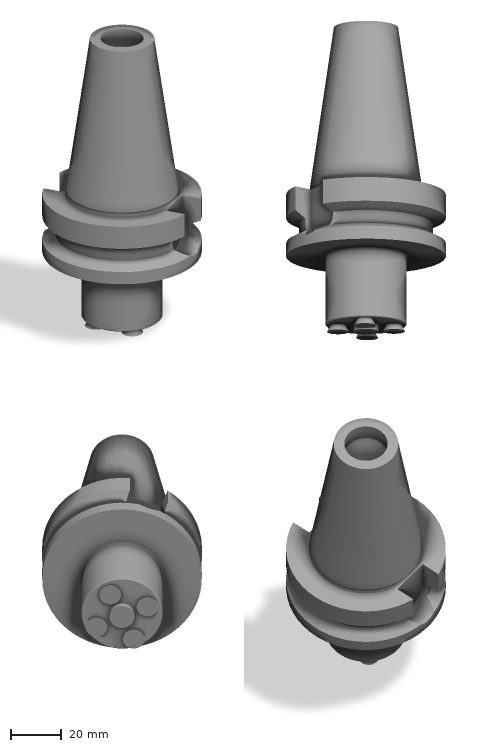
import cadquery as cq
import math

total_height = 122.8

taper_top_diameter = 25.4
taper_base_diameter = 44.5
taper_length = 65.5
neck_diameter = 44.0
neck_chamfer = 0.6
neck_length = 2.0
neck_flare_diameter = 45.0
neck_flare_height = 0.9

flange_diameter = 63.0
flange_thickness = 24.9
groove_floor_diameter = 52.8
groove_center_below_flange_top = 14.6
groove_mouth_width = 10.1
groove_floor_width = 4.9

slot_width = 16.0
slot_depth_below_flange_top = 20.9
slot_floor_distance = 22.3

shank_diameter = 32.0
shank_root_fillet = 1.0
shank_chamfer = 0.4

bore_diameter = 17.1
bore_depth = 7.4
bore_tip_diameter = 14.0
bore_step_height = 0.9
bore_tip_angle = 118.0

head_height = 2.6
head_diameter = 8.6
head_root_diameter = 6.0
head_count = 4
head_circle_diameter = 22.1
first_head_angle = 45
boss_diameter = 10.0

taper_base_z = total_height - taper_length
flange_top_z = taper_base_z - neck_length
flange_bottom_z = flange_top_z - flange_thickness
groove_z = flange_top_z - groove_center_below_flange_top
shank_bottom_z = head_height


def make_body():
    """Revolve the outer profile of taper, flange and shank."""
    flange_radius = flange_diameter / 2
    floor_radius = groove_floor_diameter / 2
    shank_radius = shank_diameter / 2
    fillet_bend = shank_root_fillet * (1 - math.sqrt(0.5))
    return (
        cq.Workplane("XZ")
        .moveTo(0, shank_bottom_z)
        .lineTo(shank_radius - shank_chamfer, shank_bottom_z)
        .lineTo(shank_radius, shank_bottom_z + shank_chamfer)
        .lineTo(shank_radius, flange_bottom_z - shank_root_fillet)
        .threePointArc(
            (shank_radius + fillet_bend, flange_bottom_z - fillet_bend),
            (shank_radius + shank_root_fillet, flange_bottom_z),
        )
        .lineTo(flange_radius, flange_bottom_z)
        .lineTo(flange_radius, groove_z - groove_mouth_width / 2)
        .lineTo(floor_radius, groove_z - groove_floor_width / 2)
        .lineTo(floor_radius, groove_z + groove_floor_width / 2)
        .lineTo(flange_radius, groove_z + groove_mouth_width / 2)
        .lineTo(flange_radius, flange_top_z)
        .lineTo(neck_flare_diameter / 2, flange_top_z)
        .lineTo(neck_diameter / 2, flange_top_z + neck_flare_height)
        .lineTo(neck_diameter / 2, taper_base_z - neck_chamfer)
        .lineTo(taper_base_diameter / 2, taper_base_z)
        .lineTo(taper_top_diameter / 2, total_height)
        .lineTo(0, total_height)
        .close()
        .revolve(360, (0, 0, 0), (0, 1, 0))
    )


def make_bore():
    """Stepped blind bore ending in a drill-point cone."""
    bore_floor_z = total_height - bore_depth
    tip_edge_z = bore_floor_z - bore_step_height
    tip_radius = bore_tip_diameter / 2
    tip_height = tip_radius / math.tan(math.radians(bore_tip_angle / 2))
    return (
        cq.Workplane("XZ")
        .moveTo(0, total_height)
        .lineTo(bore_diameter / 2, total_height)
        .lineTo(bore_diameter / 2, bore_floor_z)
        .lineTo(tip_radius, tip_edge_z)
        .lineTo(0, tip_edge_z - tip_height)
        .close()
        .revolve(360, (0, 0, 0), (0, 1, 0))
    )


def make_drive_slot():
    """Round-bottomed slot cutter on the +X side, open at the flange top."""
    half_width = slot_width / 2
    slot_bottom_z = flange_top_z - slot_depth_below_flange_top
    arc_center_z = slot_bottom_z + half_width
    return (
        cq.Workplane("YZ", origin=(slot_floor_distance, 0, 0))
        .moveTo(-half_width, flange_top_z)
        .lineTo(-half_width, arc_center_z)
        .threePointArc((0, slot_bottom_z), (half_width, arc_center_z))
        .lineTo(half_width, flange_top_z)
        .close()
        .extrude(flange_diameter / 2)
    )


def make_end_features():
    """Flared screw heads around a center boss on the shank end."""
    heads = (
        cq.Workplane("XY")
        .polarArray(head_circle_diameter / 2, first_head_angle, 360, head_count)
        .eachpoint(
            lambda place: cq.Solid.makeCone(
                head_diameter / 2, head_root_diameter / 2, head_height
            ).moved(place)
        )
    )
    boss = cq.Workplane("XY").circle(boss_diameter / 2).extrude(head_height)
    return heads, boss


result = make_body().cut(make_bore())

drive_slot = make_drive_slot()
for slot_angle in (0, 180):
    result = result.cut(drive_slot.rotate((0, 0, 0), (0, 0, 1), slot_angle))

for end_feature in make_end_features():
    result = result.union(end_feature)